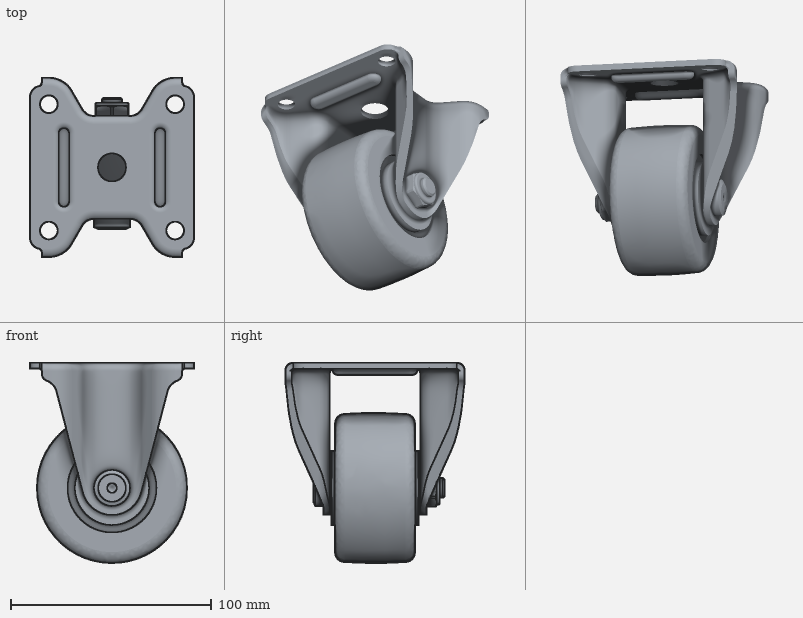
import cadquery as cq
import math

plate_length_x = 82.0
fork_width_y = 89.5
plate_thickness = 3.0
axle_z = -62.5

sheet_thickness = 3.2
bend_outer_radius = 4.0
bend_inner_radius = 2.3
bolt_spacing = 63.0
bolt_hole_diameter = 8.7
pivot_hole_diameter = 14.0
lobe_radius = 13.2
flank_angle = math.radians(60)
leg_flat_half_width = 9.0
leg_outer_y = 25.7
plate_corner_radius = 5.9
relief_start_x = 36.1
relief_end_y = 42.8
relief_side_radius = 1.4
skirt_half_length = 35.0

shoulder_tip_z = -7.9
shoulder_tip_radius = 3.5
shoulder_root_z = -10.8
shoulder_root_radius = 7.5
leg_taper = math.radians(14.7)
foot_radius = 15.0
foot_center_z = axle_z + 1.5

bead_x = 24.0
bead_end_center_y = 17.0
bead_floor_half_width = 2.6
bead_depth = 3.0
bead_lip_radius = 2.9
bead_outer_half_width = 4.2
bead_outer_height = 3.2
bead_outer_radius = 2.6

wheel_radius = 37.5
wheel_width = 40.0
crown_radius = 240.0
tread_corner_radius = 5.0
hub_radius = 18.5
hub_width = 43.6
hub_recess_radius = 22.2
hub_recess_depth = 1.9

axle_radius = 5.0
axle_end_y = 34.8
axle_end_chamfer = 0.9
head_radius = 9.0
head_end_y = 30.8
head_chamfer_axial = 1.0
head_chamfer_radial = 2.1
center_drill_radius = 2.4
center_drill_depth = 1.4
nut_across_flats = 16.8
nut_corner_radius = 9.4
nut_hex_end_y = 30.8
nut_chamfer_axial = 0.6
nut_chamfer_radial = 1.0
nut_collar_radius = 8.4
nut_collar_end_y = 32.3
nut_collar_fillet = 1.0

plate_half_x = plate_length_x / 2
fork_half_y = fork_width_y / 2
wing_half_y = fork_half_y - bend_outer_radius
lobe_center_x = bolt_spacing / 2
lobe_center_y = fork_half_y - lobe_radius
waist_radius = (
    (lobe_center_x - leg_flat_half_width) * math.sin(flank_angle)
    + (leg_outer_y - lobe_center_y) * math.cos(flank_angle)
    - lobe_radius
) / (1 - math.cos(flank_angle))
waist_center_y = leg_outer_y + waist_radius
below_wheel = axle_z - wheel_radius


def mirrored_copies(shape):
    """The shape in all four XY quadrants, as one list."""
    copies = [shape, shape.mirror("YZ")]
    return copies + [copy.mirror("XZ") for copy in copies]


def sheet_prism(inset, end_x, top_z, bottom_z):
    """Prism under the wavy sheet outline, moved inward by inset and closed at X = +/-end_x."""
    lobe_r = lobe_radius - inset
    waist_r = waist_radius + inset

    def lobe_point(angle):
        return (lobe_center_x - lobe_r * math.sin(angle), lobe_center_y + lobe_r * math.cos(angle))

    def waist_point(angle):
        return (leg_flat_half_width + waist_r * math.sin(angle), waist_center_y - waist_r * math.cos(angle))

    half = flank_angle / 2

    def flip_x(point):
        return (-point[0], point[1])

    edge_y = lobe_point(0)[1]
    half_prism = (
        cq.Workplane("XY", origin=(0, 0, bottom_z))
        .moveTo(end_x, 0)
        .lineTo(end_x, edge_y)
        .lineTo(*lobe_point(0))
        .threePointArc(lobe_point(half), lobe_point(flank_angle))
        .lineTo(*waist_point(flank_angle))
        .threePointArc(waist_point(half), waist_point(0))
        .lineTo(*flip_x(waist_point(0)))
        .threePointArc(flip_x(waist_point(half)), flip_x(waist_point(flank_angle)))
        .lineTo(*flip_x(lobe_point(flank_angle)))
        .threePointArc(flip_x(lobe_point(half)), flip_x(lobe_point(0)))
        .lineTo(-end_x, edge_y)
        .lineTo(-end_x, 0)
        .close()
        .extrude(top_z - bottom_z)
    )
    return half_prism.union(half_prism.mirror("XZ")).clean()


def bent_sheet():
    """Plate and both legs, bent from one sheet, before trimming."""
    outer = sheet_prism(0, plate_half_x, 0, below_wheel)
    outer = outer.faces(">Z").edges("not |Y").fillet(bend_outer_radius)
    cavity_end_x = plate_half_x + sheet_thickness
    cavity = sheet_prism(sheet_thickness, cavity_end_x, -plate_thickness, below_wheel)
    cavity = cavity.faces(">Z").edges("not |Y").fillet(bend_inner_radius)
    return outer.cut(cavity)


def side_outline():
    """Prism along Y of the fork outline: plate, shoulders and tapered legs with a round foot."""
    taper_x = foot_radius * math.cos(leg_taper)
    taper_z = foot_center_z - foot_radius * math.sin(leg_taper)
    root_x = taper_x + (shoulder_root_z - taper_z) * math.tan(leg_taper)
    prism = (
        cq.Workplane("XZ", origin=(0, fork_half_y, 0))
        .moveTo(-plate_half_x, 0)
        .lineTo(plate_half_x, 0)
        .lineTo(plate_half_x, -plate_thickness)
        .lineTo(skirt_half_length, -plate_thickness)
        .lineTo(skirt_half_length, shoulder_tip_z)
        .lineTo(root_x, shoulder_root_z)
        .lineTo(taper_x, taper_z)
        .threePointArc((0, foot_center_z - foot_radius), (-taper_x, taper_z))
        .lineTo(-root_x, shoulder_root_z)
        .lineTo(-skirt_half_length, shoulder_tip_z)
        .lineTo(-skirt_half_length, -plate_thickness)
        .lineTo(-plate_half_x, -plate_thickness)
        .close()
        .extrude(fork_width_y)
    )
    corner_radii = [
        (skirt_half_length, -plate_thickness, relief_side_radius),
        (skirt_half_length, shoulder_tip_z, shoulder_tip_radius),
        (root_x, shoulder_root_z, shoulder_root_radius),
    ]
    for x, z, radius in corner_radii:
        for side in (-1, 1):
            corner = cq.NearestToPointSelector((side * x, 0, z))
            prism = prism.edges("|Y").edges(corner).fillet(radius)
    return prism


def plate_corner_trim():
    """Waste outside one plate corner: corner round, then the relief arc at the skirt end."""
    round_x = plate_half_x - plate_corner_radius
    round_y = wing_half_y - plate_corner_radius
    start_angle = math.acos((relief_start_x - round_x) / plate_corner_radius)

    def round_point(angle):
        return (
            round_x + plate_corner_radius * math.cos(angle),
            round_y + plate_corner_radius * math.sin(angle),
        )

    return (
        cq.Workplane("XY", origin=(0, 0, below_wheel))
        .moveTo(skirt_half_length, fork_width_y)
        .lineTo(skirt_half_length, relief_end_y)
        .tangentArcPoint(round_point(start_angle), relative=False)
        .threePointArc(round_point(start_angle / 2), round_point(0))
        .lineTo(plate_length_x, round_y)
        .lineTo(plate_length_x, fork_width_y)
        .close()
        .extrude(-below_wheel)
    )


def slot_block(half_width, top_z, height):
    """Upright slot-shaped block along Y at the bead centre line."""
    return (
        cq.Workplane("XY", origin=(bead_x, 0, top_z))
        .slot2D(2 * (bead_end_center_y + half_width), 2 * half_width, 90)
        .extrude(-height)
    )


def add_bead(sheet, side):
    """Press one stiffening bead into the plate, on the given X side."""
    ridge = slot_block(bead_outer_half_width, -plate_thickness / 2, plate_thickness / 2 + bead_outer_height)
    ridge = ridge.faces("<Z").edges().fillet(bead_outer_radius)
    groove = slot_block(bead_floor_half_width, 0, bead_depth)
    if side < 0:
        ridge = ridge.mirror("YZ")
        groove = groove.mirror("YZ")
    sheet = sheet.union(ridge).cut(groove)
    groove_mouth = cq.selectors.BoxSelector(
        (side * bead_x - bead_outer_half_width, -fork_half_y / 2, -bead_lip_radius / 2),
        (side * bead_x + bead_outer_half_width, fork_half_y / 2, bead_lip_radius / 2),
    )
    return sheet.faces(">Z").edges(groove_mouth).fillet(bead_lip_radius)


def make_fork():
    fork = bent_sheet().intersect(side_outline())
    for trim in mirrored_copies(plate_corner_trim()):
        fork = fork.cut(trim)
    for side in (-1, 1):
        fork = add_bead(fork, side)
    bolt_holes = (
        cq.Workplane("XY")
        .rect(bolt_spacing, bolt_spacing, forConstruction=True)
        .vertices()
        .circle(bolt_hole_diameter / 2)
        .extrude(-plate_thickness)
    )
    pivot_hole = cq.Workplane("XY").circle(pivot_hole_diameter / 2).extrude(-plate_thickness)
    return fork.cut(bolt_holes).cut(pivot_hole).cut(y_cylinder(axle_radius, -fork_half_y, fork_half_y))


def y_cylinder(radius, start_y, end_y):
    """Cylinder on the axle line between two Y positions."""
    return cq.Workplane("XZ", origin=(0, start_y, axle_z)).circle(radius).extrude(start_y - end_y)


def revolve_about_axle(profile):
    """Turn a profile drawn as (radius, Y) about the axle line."""
    return profile.close().revolve(360, (0, 0), (0, 1)).translate((0, 0, axle_z))


def make_wheel():
    half_width = wheel_width / 2
    half_hub = hub_width / 2
    crown_center = wheel_radius - crown_radius
    edge_radius = crown_center + math.sqrt(crown_radius**2 - half_width**2)
    tread = revolve_about_axle(
        cq.Workplane("XY")
        .moveTo(0, -half_width)
        .lineTo(edge_radius, -half_width)
        .threePointArc((wheel_radius, 0), (edge_radius, half_width))
        .lineTo(0, half_width)
    )
    wheel = tread.faces("<Y or >Y").edges().fillet(tread_corner_radius)
    recess_floor_y = half_width - hub_recess_depth
    for side in (-1, 1):
        wheel = wheel.cut(y_cylinder(hub_recess_radius, side * recess_floor_y, side * half_width))
    hub = y_cylinder(hub_radius, -half_hub, half_hub)
    return wheel.union(hub).cut(y_cylinder(axle_radius, -half_hub, half_hub))


def make_axle():
    """Bolt from its head on the -Y leg to the lock nut on the +Y leg."""
    bolt = revolve_about_axle(
        cq.Workplane("XY")
        .moveTo(0, center_drill_depth - head_end_y)
        .lineTo(center_drill_radius, -head_end_y)
        .lineTo(head_radius - head_chamfer_radial, -head_end_y)
        .lineTo(head_radius, head_chamfer_axial - head_end_y)
        .lineTo(head_radius, -leg_outer_y)
        .lineTo(axle_radius, -leg_outer_y)
        .lineTo(axle_radius, axle_end_y - axle_end_chamfer)
        .lineTo(axle_radius - axle_end_chamfer, axle_end_y)
        .lineTo(0, axle_end_y)
    )
    turned_blank = revolve_about_axle(
        cq.Workplane("XY")
        .moveTo(0, leg_outer_y)
        .lineTo(nut_corner_radius, leg_outer_y)
        .lineTo(nut_corner_radius, nut_hex_end_y - nut_chamfer_axial)
        .lineTo(nut_corner_radius - nut_chamfer_radial, nut_hex_end_y)
        .lineTo(0, nut_hex_end_y)
    )
    hexagon = (
        cq.Workplane("XZ", origin=(0, leg_outer_y, axle_z))
        .transformed(rotate=(0, 0, 90))
        .polygon(6, nut_across_flats / math.cos(math.pi / 6))
        .extrude(leg_outer_y - nut_hex_end_y)
        .intersect(turned_blank)
    )
    collar = y_cylinder(nut_collar_radius, leg_outer_y, nut_collar_end_y)
    collar = collar.faces(">Y").edges().fillet(nut_collar_fillet)
    return bolt.union(hexagon).union(collar)


fork = make_fork()
wheel = make_wheel()
axle = make_axle()

result = cq.Compound.makeCompound([fork.val(), wheel.val(), axle.val()])